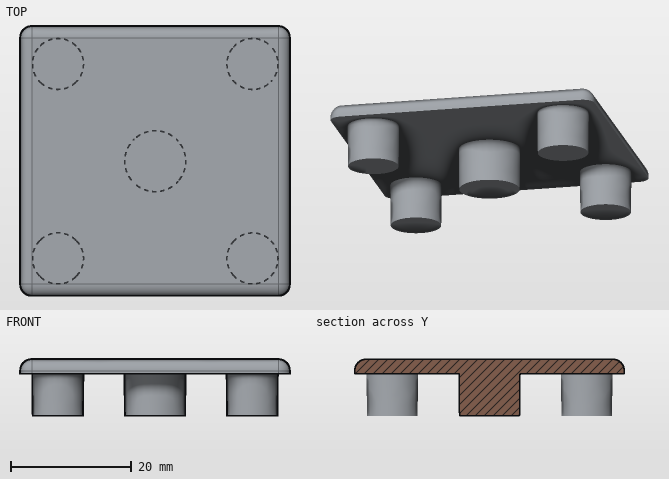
import cadquery as cq

plate_side = 45.0
plate_thickness = 2.5
edge_radius = 2.0

peg_length = 7.0
peg_draft = 0.7
corner_peg_diameter = 8.6
center_peg_diameter = 10.25
corner_peg_offset = 16.2


def make_plate():
    """Plate with its underside at Z = 0; only the bottom edges stay sharp."""
    block = cq.Workplane("XY").box(
        plate_side, plate_side, plate_thickness, centered=(True, True, False)
    )
    return block.edges("|Z or >Z").fillet(edge_radius)


def make_peg(x, y, root_diameter):
    """Tapered round peg that hangs from the underside of the plate."""
    return (
        cq.Workplane("XY")
        .center(x, y)
        .circle(root_diameter / 2)
        .extrude(-peg_length, taper=peg_draft)
    )


result = make_plate().union(make_peg(0, 0, center_peg_diameter))
for x_side in (-1, 1):
    for y_side in (-1, 1):
        corner_peg = make_peg(
            x_side * corner_peg_offset, y_side * corner_peg_offset, corner_peg_diameter
        )
        result = result.union(corner_peg)